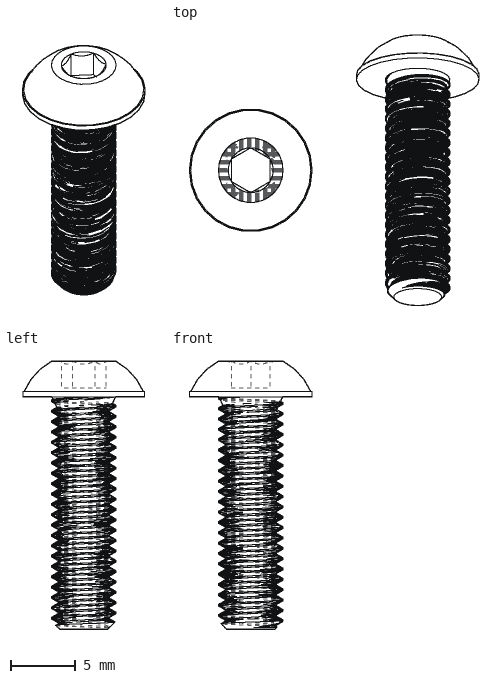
import cadquery as cq
import math

total_length = 20.75
thread_diameter = 5.0
pitch = 0.16 * thread_diameter

head_diameter = 9.5
head_height = 2.75
rim_height = 0.42
dome_foot_inset = 0.1
dome_bulge = 0.27

socket_flats = 3.0
socket_depth = 2.08
socket_chamfer_angle = 45.0

tip_chamfer = 0.65
flare_height = 1.02
flare_clearance = 0.02
thread_phase = 0.27

thread_radius = thread_diameter / 2
head_radius = head_diameter / 2
shank_length = total_length - head_height

flank_tangent = math.tan(math.radians(30))
triangle_height = pitch / (2 * flank_tangent)
groove_depth = triangle_height * 17 / 24
crest_flat = pitch / 8
root_radius = thread_radius - groove_depth
flare_foot_radius = root_radius - flare_clearance
flare_top_radius = thread_radius - flare_clearance
root_flat = pitch - crest_flat - 2 * groove_depth * flank_tangent
flank_points = 6
overlap = 0.1


def polar_point(radius, angle):
    return (radius * math.cos(angle), radius * math.sin(angle))


def make_threaded_rod():
    """Cross-section of the single-start thread, twisted along the axis right-handed.

    A height within one pitch becomes an angle within one turn, so the thread's flats
    become arcs and its flanks become spirals.
    """
    length = shank_length + overlap
    root_angle = math.pi * root_flat / pitch
    crest_angle = math.pi * (1 - crest_flat / pitch)

    def rising_flank(t):
        radius = root_radius + t * groove_depth
        return polar_point(radius, root_angle + t * (crest_angle - root_angle))

    def falling_flank(t):
        x, y = rising_flank(1 - t)
        return (x, -y)

    section = (
        cq.Workplane("XY")
        .moveTo(*polar_point(root_radius, -root_angle))
        .threePointArc((root_radius, 0), polar_point(root_radius, root_angle))
        .parametricCurve(rising_flank, N=flank_points, makeWire=False)
        .moveTo(*polar_point(thread_radius, crest_angle))
        .threePointArc((-thread_radius, 0), polar_point(thread_radius, -crest_angle))
        .parametricCurve(falling_flank, N=flank_points, makeWire=False)
        .consolidateWires()
    )
    rod = section.twistExtrude(length, 360 * length / pitch)
    return rod.rotate((0, 0, 0), (0, 0, 1), -360 * thread_phase / pitch)


def make_tip_envelope():
    """Body slightly wider than the thread, coned at 45 degrees towards the tip."""
    tip_radius = thread_radius - tip_chamfer
    envelope_radius = thread_radius + overlap
    cone_height = envelope_radius - tip_radius
    return (
        cq.Workplane("XZ")
        .lineTo(tip_radius, 0)
        .lineTo(envelope_radius, cone_height)
        .lineTo(envelope_radius, total_length)
        .lineTo(0, total_length)
        .close()
        .revolve(360, (0, 0), (0, 1))
    )


def make_head():
    """Domed head with a flat top, a short rim and the flared neck below it."""
    foot = (head_radius - dome_foot_inset, shank_length + rim_height)
    crown = (thread_radius, total_length)
    run = foot[0] - crown[0]
    rise = crown[1] - foot[1]
    chord = math.hypot(run, rise)
    dome_middle = (
        (foot[0] + crown[0]) / 2 + dome_bulge * rise / chord,
        (foot[1] + crown[1]) / 2 + dome_bulge * run / chord,
    )
    return (
        cq.Workplane("XZ")
        .moveTo(0, shank_length - flare_height)
        .lineTo(flare_foot_radius, shank_length - flare_height)
        .lineTo(flare_top_radius, shank_length)
        .lineTo(head_radius, shank_length)
        .lineTo(head_radius, foot[1])
        .lineTo(*foot)
        .threePointArc(dome_middle, crown)
        .lineTo(0, total_length)
        .close()
        .revolve(360, (0, 0), (0, 1))
    )


def make_socket():
    """Hexagon with corners on Y, its mouth coned out to the corner circle."""
    corner_diameter = socket_flats / math.cos(math.radians(30))
    corner_radius = corner_diameter / 2
    hexagon = (
        cq.Workplane("XY", origin=(0, 0, total_length - socket_depth))
        .transformed(rotate=(0, 0, 90))
        .polygon(6, corner_diameter)
        .extrude(socket_depth)
    )
    flat_radius = socket_flats / 2
    mouth_depth = (corner_radius - flat_radius) * math.tan(math.radians(socket_chamfer_angle))
    mouth = cq.Solid.makeCone(
        corner_radius, flat_radius, mouth_depth, pnt=cq.Vector(0, 0, total_length), dir=cq.Vector(0, 0, -1)
    )
    return hexagon.union(cq.Workplane(mouth))


head = make_head().cut(make_socket())
threaded_shank = make_threaded_rod().intersect(make_tip_envelope(), clean=False)
result = threaded_shank.union(head, clean=False)